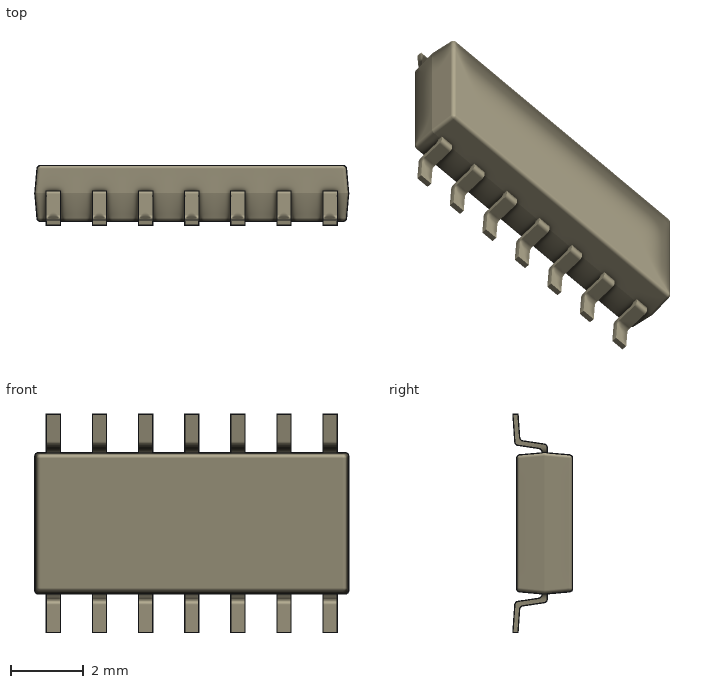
import cadquery as cq
import math

body_length = 8.65
body_width = 3.9
body_thickness = 1.55
body_draft = 5.0
body_edge_radius = 0.1

leads_per_row = 7
lead_row_length = 7.62
lead_width = 0.4
lead_thickness = 0.15
lead_bend_radius = 0.1
lead_embed = 0.17
lead_tip_span = 6.02
overall_depth = 1.65
web_angle = 8.5
foot_angle = 4.0
web_root_z = 2.11


def body_half(side):
    """Drafted half of the body, growing from the parting plane towards side * Y."""
    plane = cq.Plane(origin=(0, 0, 0), xDir=(1, 0, 0), normal=(0, side, 0))
    return (
        cq.Workplane(plane)
        .rect(body_length, body_width)
        .extrude(body_thickness / 2, taper=body_draft)
    )


def make_body():
    """Both halves joined, with the corner edges and the face borders rounded."""
    body = body_half(1).union(body_half(-1))
    corner_edges = body.edges("not(#Y or |X or |Z)")
    face_borders = body.faces("<Y or >Y").edges()
    return corner_edges.add(face_borders).fillet(body_edge_radius)


def make_lead():
    """Upper lead centred on X = 0: stub, web sloping to -Y, and foot pointing up."""
    web_slope = math.tan(math.radians(web_angle))
    foot_slope = math.tan(math.radians(foot_angle))
    half_thickness = lead_thickness / 2
    stub_z = body_width / 2 - lead_embed
    tip_z = lead_tip_span / 2

    web_half = half_thickness / math.cos(math.radians(web_angle))
    foot_half = half_thickness / math.cos(math.radians(foot_angle))
    tip_y = body_thickness / 2 - overall_depth + foot_half

    def web_face_z(y, side):
        return web_root_z - web_slope * y + side * web_half

    def foot_face_y(z, side):
        return tip_y + foot_slope * (tip_z - z) + side * foot_half

    def heel(side):
        """Sharp corner where a web face meets the foot face on the same side."""
        y_at_root = foot_face_y(web_root_z + side * web_half, side)
        y = y_at_root / (1 - foot_slope * web_slope)
        return y, web_face_z(y, side)

    def face_points(side):
        """Corners of one face of the lead, from the stub to the tip."""
        stub_y = side * half_thickness
        return [
            (stub_y, stub_z),
            (stub_y, web_face_z(stub_y, side)),
            heel(side),
            (foot_face_y(tip_z, side), tip_z),
        ]

    upper_face = face_points(1)
    lower_face = face_points(-1)
    lead = (
        cq.Workplane("YZ")
        .polyline(upper_face + lower_face[::-1])
        .close()
        .extrude(lead_width / 2, both=True)
    )
    bends = upper_face[1:-1] + lower_face[1:-1]
    for y, z in bends:
        nearest_edge = cq.selectors.NearestToPointSelector((0, y, z))
        lead = lead.edges("|X").edges(nearest_edge).fillet(lead_bend_radius)
    return lead


lead_pitch = lead_row_length / (leads_per_row - 1)
result = make_body()
upper_lead = make_lead()
lower_lead = upper_lead.mirror("XY")
for index in range(leads_per_row):
    lead_x = index * lead_pitch - lead_row_length / 2
    for lead in (upper_lead, lower_lead):
        result = result.union(lead.translate((lead_x, 0, 0)))